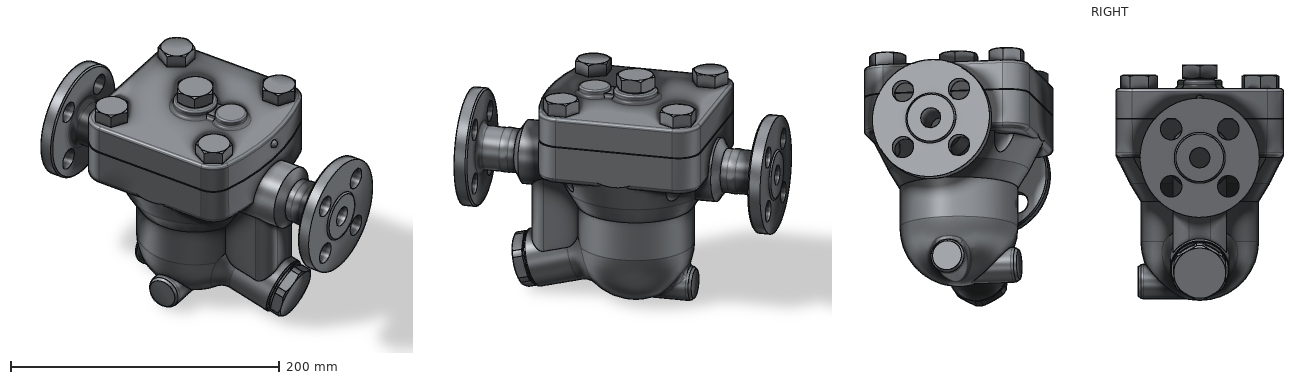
import cadquery as cq
import math


quarter_arc_inset = 1 - math.sqrt(0.5)

face_left = -109.5
face_right = 129.5
pipe_mid = (face_left + face_right) / 2

flange_r = 89.0 / 2
raised_face_r = 38.0 / 2
raised_face_bevel = 1.2
raised_face_height = 1.2
flange_back = 11.0
rim_chamfer = 1.2
pipe_r = 33.0 / 2
flange_fillet = 4.0
weld_start = 28.2
weld_end = 34.7
weld_height = 0.5
collar_end = 39.7
shoulder_end = 45.0
port_r = 48.0 / 2
bolt_hole_dia = 16.0
bolt_hole_circle = 60.2
bore_r = 15.0 / 2
bore_depth = collar_end

block_half_width = 125.0 / 2
block_left = -block_half_width
block_right = 68.8
block_right_bottom = 67.6
block_corner_r = 17.2
corner_center_right = 44.7
block_bottom = 0.2
cover_bottom = 29.5
cover_top = 51.6
block_edge_fillet = 2.5
block_bottom_fillet = 3.5
gasket_height = 0.5
gasket_inset = 0.5

bowl_r = 44.0
bowl_center_z = -62.4
cone_bottom_z = -32.5
cone_middle_z = -19.1
cone_middle_r = 52.0
cone_top_r = 62.4
cone_top_z = 1.2
bowl_bottom_z = bowl_center_z - bowl_r

head_bevel_angle = 30

bolt_pitch_half = 45.2
bolt_flats = 24.0
bolt_height = 10.0
pocket_r = 9.0

boss_top = 57.8
main_boss_r = 33.0 / 2
side_boss_r = 24.0 / 2
side_boss_x = 31.5
boss_round = 1.5
boss_base_fillet = 2.9
bridge_top = 55.0
bridge_half_width = 7.6
plug_neck_r = 22.0 / 2
plug_flats = 26.0
plug_bottom = 59.0
plug_top = 69.3

nipple_r = 3.0
nipple_center_x = block_right
nipple_z = 43.5

rib_half_width = 40.0 / 2
rib_end = 77.7
rib_corner_r = 12.0

strainer_angle = 15
strainer_r = 44.0 / 2
strainer_length = 80.3
strainer_fillet = 17.0
strainer_gasket_r = 21.3
strainer_gasket_thickness = 1.2
strainer_neck_r = 19.5
strainer_plug_start = 83.2
strainer_plug_height = 8.4
strainer_plug_flats = 38.7
strainer_plug_dia = 42.0

drain_r = 26.0 / 2
drain_z = -92.3
drain_reach = 46.0
drain_face_r = 22.0 / 2
drain_bevel = 2.03
drain_taper = 0.5
drain_fillet = 3.3


def hex_head(flats, height, rounding_dia=None, bevel_faces=">Z"):
    """Hexagonal head on Z = 0 with two corners along X, turned to a bevelled cylinder."""
    corner_dia = flats / math.cos(math.radians(30))
    outer_r = (rounding_dia or corner_dia) / 2
    bevel_width = outer_r - flats / 2
    bevel_height = bevel_width * math.tan(math.radians(head_bevel_angle))
    envelope = (
        cq.Workplane("XY")
        .circle(outer_r)
        .extrude(height)
        .faces(bevel_faces)
        .chamfer(bevel_height, bevel_width)
    )
    return cq.Workplane("XY").polygon(6, corner_dia).extrude(height).intersect(envelope)


def block_outline(z, right, inset=0.0):
    """Rounded square whose right side is one large arc tangent to its corners."""
    half = block_half_width - inset
    left = block_left + inset
    right = right - inset
    r = block_corner_r - inset
    cx = corner_center_right
    cy = half - r
    gap = right - cx
    side_r = (gap**2 + cy**2 - r**2) / (2 * (gap - r))
    side_cx = right - side_r
    tilt = math.atan2(cy, cx - side_cx)
    tangent_x = cx + r * math.cos(tilt)
    tangent_y = cy + r * math.sin(tilt)
    mid_x = cx + r * math.cos((tilt + math.pi / 2) / 2)
    mid_y = cy + r * math.sin((tilt + math.pi / 2) / 2)
    arc_inset = r * quarter_arc_inset
    return (
        cq.Workplane("XY", origin=(0, 0, z))
        .moveTo(left + r, -half)
        .lineTo(cx, -half)
        .threePointArc((mid_x, -mid_y), (tangent_x, -tangent_y))
        .threePointArc((right, 0), (tangent_x, tangent_y))
        .threePointArc((mid_x, mid_y), (cx, half))
        .lineTo(left + r, half)
        .threePointArc((left + arc_inset, half - arc_inset), (left, half - r))
        .lineTo(left, -half + r)
        .threePointArc((left + arc_inset, -half + arc_inset), (left + r, -half))
        .close()
    )


def make_block():
    """Lower body with a slightly drafted right side, thin inset gasket and cover."""
    body_top = cover_bottom - gasket_height
    base = block_outline(block_bottom, block_right_bottom).wires().vals()[0]
    rim = block_outline(body_top, block_right).wires().vals()[0]
    body = cq.Workplane(cq.Solid.makeLoft([base, rim], True))
    body = body.faces("<Z").edges().fillet(block_bottom_fillet)
    gasket = block_outline(body_top, block_right, gasket_inset).extrude(gasket_height)
    cover = block_outline(cover_bottom, block_right).extrude(cover_top - cover_bottom)
    cover = cover.faces(">Z").edges().fillet(block_edge_fillet)
    return body.union(gasket).union(cover)


def make_bowl():
    """Two cones, a cylinder and a hemisphere, with clearances for the bolt ends."""
    flare = (cone_top_r - cone_middle_r) / (cone_top_z - cone_middle_z)
    rim_z = block_bottom + block_bottom_fillet
    rim_r = cone_middle_r + flare * (rim_z - cone_middle_z)
    limits = cq.Workplane("XY").box(-2 * block_left, 2 * block_half_width, -4 * bowl_bottom_z)
    bowl = (
        cq.Workplane("XZ")
        .moveTo(0, rim_z)
        .lineTo(rim_r, rim_z)
        .lineTo(cone_middle_r, cone_middle_z)
        .lineTo(bowl_r, cone_bottom_z)
        .lineTo(bowl_r, bowl_center_z)
        .threePointArc(
            (bowl_r * math.sqrt(0.5), bowl_center_z - bowl_r * math.sqrt(0.5)),
            (0, bowl_bottom_z),
        )
        .close()
        .revolve(360, (0, 0, 0), (0, 1, 0))
    )
    pockets = (
        cq.Workplane("XY", origin=(0, 0, bowl_center_z))
        .rect(2 * bolt_pitch_half, 2 * bolt_pitch_half, forConstruction=True)
        .vertices()
        .circle(pocket_r)
        .extrude(block_bottom - bowl_center_z)
    )
    return bowl.intersect(limits).cut(pockets)


def strainer_plane(distance):
    """Workplane across the strainer axis at a distance from the centre of the bowl end."""
    slope = math.radians(strainer_angle)
    direction = cq.Vector(math.cos(slope), 0, -math.sin(slope))
    upright = cq.Vector(math.sin(slope), 0, math.cos(slope))
    origin = cq.Vector(0, 0, bowl_center_z) + direction * distance
    return cq.Workplane(cq.Plane(origin, upright, direction))


def make_drain():
    """Drain boss toward -X with a bevelled end."""
    return (
        cq.Workplane("XY")
        .moveTo(0, 0)
        .lineTo(-drain_reach, 0)
        .lineTo(-drain_reach, drain_face_r)
        .lineTo(-drain_reach + drain_bevel, drain_r - drain_taper)
        .lineTo(-drain_reach + 2 * drain_bevel, drain_r)
        .lineTo(0, drain_r)
        .close()
        .revolve(360, (0, 0, 0), (1, 0, 0))
        .translate((0, 0, drain_z))
    )


def make_bowl_with_drains():
    """Bowl with one drain boss toward -X blended into it and a plain one toward -Y."""
    drain = make_drain()
    bowl = make_bowl().union(drain)
    seams = [
        edge for edge in bowl.edges().vals()
        if edge.geomType() == "BSPLINE" and edge.Center().z < bowl_center_z
    ]
    bowl = bowl.newObject(seams).fillet(drain_fillet)
    return bowl.union(drain.rotate((0, 0, 0), (0, 0, 1), 90))


def make_strainer_branch():
    """Branch on an axis through the centre of the bowl end, flared into the sphere."""
    flare_center = math.sqrt((bowl_r + strainer_fillet) ** 2 - (strainer_r + strainer_fillet) ** 2)
    flare_angle = math.atan2(strainer_r + strainer_fillet, flare_center)
    mid_angle = (math.pi / 2 + flare_angle) / 2
    return (
        cq.Workplane("XY")
        .moveTo(0, 0)
        .lineTo(bowl_r * math.cos(flare_angle), bowl_r * math.sin(flare_angle))
        .threePointArc(
            (
                flare_center - strainer_fillet * math.cos(mid_angle),
                strainer_r + strainer_fillet * (1 - math.sin(mid_angle)),
            ),
            (flare_center, strainer_r),
        )
        .lineTo(strainer_length, strainer_r)
        .lineTo(strainer_length, 0)
        .close()
        .revolve(360, (0, 0, 0), (1, 0, 0))
        .rotate((0, 0, 0), (0, 1, 0), strainer_angle)
        .translate((0, 0, bowl_center_z))
    )


def make_strainer_plug():
    """Gasket, neck and hexagonal head closing the strainer branch."""
    seat = strainer_plane(strainer_length)
    gasket = seat.circle(strainer_gasket_r).extrude(strainer_gasket_thickness)
    neck = seat.circle(strainer_neck_r).extrude(strainer_plug_start - strainer_length)
    head = hex_head(strainer_plug_flats, strainer_plug_height, strainer_plug_dia)
    head_place = cq.Location(strainer_plane(strainer_plug_start).plane)
    return gasket.union(neck).union(cq.Workplane(head.val().moved(head_place)))


def make_connection():
    """Flange and pipe with its face at X = 0, running toward +X."""
    arc_inset = flange_fillet * quarter_arc_inset
    connection = (
        cq.Workplane("XY")
        .moveTo(0, 0)
        .lineTo(0, raised_face_r - raised_face_bevel)
        .lineTo(raised_face_height, raised_face_r)
        .lineTo(raised_face_height, flange_r)
        .lineTo(flange_back - rim_chamfer, flange_r)
        .lineTo(flange_back, flange_r - rim_chamfer)
        .lineTo(flange_back, pipe_r + flange_fillet)
        .threePointArc(
            (flange_back + arc_inset, pipe_r + arc_inset),
            (flange_back + flange_fillet, pipe_r),
        )
        .lineTo(weld_start, pipe_r)
        .threePointArc(((weld_start + weld_end) / 2, pipe_r + weld_height), (weld_end, pipe_r))
        .lineTo(collar_end, pipe_r)
        .lineTo(shoulder_end, port_r)
        .lineTo(pipe_mid - face_left, port_r)
        .lineTo(pipe_mid - face_left, 0)
        .close()
        .revolve(360, (0, 0, 0), (1, 0, 0))
    )
    holes = (
        cq.Workplane("YZ")
        .polarArray(bolt_hole_circle / 2, 45, 360, 4)
        .circle(bolt_hole_dia / 2)
        .extrude(flange_back)
    )
    return connection.cut(holes)


def make_bore():
    return cq.Workplane("YZ").circle(bore_r).extrude(bore_depth)


def on_both_sides(shape):
    """Place a shape at the left flange face and its mirror image at the right one."""
    left = shape.translate((face_left, 0, 0))
    right = shape.mirror("YZ").translate((face_right, 0, 0))
    return left.union(right)


def cover_boss(radius, x):
    """Round boss on the cover with a rounded top edge and a flared foot."""
    base_inset = boss_base_fillet * quarter_arc_inset
    round_inset = boss_round * quarter_arc_inset
    return (
        cq.Workplane("XZ")
        .moveTo(0, cover_top - block_edge_fillet)
        .lineTo(radius + boss_base_fillet, cover_top - block_edge_fillet)
        .lineTo(radius + boss_base_fillet, cover_top)
        .threePointArc(
            (radius + base_inset, cover_top + base_inset),
            (radius, cover_top + boss_base_fillet),
        )
        .lineTo(radius, boss_top - boss_round)
        .threePointArc(
            (radius - round_inset, boss_top - round_inset),
            (radius - boss_round, boss_top),
        )
        .lineTo(0, boss_top)
        .close()
        .revolve(360, (0, 0, 0), (0, 1, 0))
        .translate((x, 0, 0))
    )


def make_bridge():
    """Low web between the two cover bosses, flared into the cover on both sides."""
    foot = bridge_half_width + boss_base_fillet
    flare = boss_base_fillet * quarter_arc_inset
    flare_top = cover_top + boss_base_fillet
    return (
        cq.Workplane("YZ")
        .moveTo(-foot, cover_top - block_edge_fillet)
        .lineTo(foot, cover_top - block_edge_fillet)
        .lineTo(foot, cover_top)
        .threePointArc((bridge_half_width + flare, cover_top + flare), (bridge_half_width, flare_top))
        .lineTo(bridge_half_width, bridge_top)
        .lineTo(-bridge_half_width, bridge_top)
        .lineTo(-bridge_half_width, flare_top)
        .threePointArc((-bridge_half_width - flare, cover_top + flare), (-foot, cover_top))
        .close()
        .extrude(side_boss_x)
    )


def make_center_plug():
    neck = (
        cq.Workplane("XY", origin=(0, 0, cover_top))
        .circle(plug_neck_r)
        .extrude(plug_bottom - cover_top)
    )
    head = hex_head(plug_flats, plug_top - plug_bottom, bevel_faces="<Z or >Z")
    return neck.union(head.translate((0, 0, plug_bottom)))


def make_bolts():
    """Four cover bolts, each turned a quarter turn from its neighbours."""
    bolts = cq.Workplane("XY")
    head = hex_head(bolt_flats, bolt_height + block_edge_fillet)
    for side_x in (-1, 1):
        for side_y in (-1, 1):
            turn = 0 if side_x == side_y else 90
            place = (
                side_x * bolt_pitch_half,
                side_y * bolt_pitch_half,
                cover_top - block_edge_fillet,
            )
            bolts = bolts.add(head.rotate((0, 0, 0), (0, 0, 1), turn).translate(place))
    return bolts.combine()


def make_nipple():
    shank = cq.Workplane("YZ").circle(nipple_r).extrude(nipple_center_x)
    tip = cq.Workplane("XY").sphere(nipple_r).translate((nipple_center_x, 0, 0))
    return shank.union(tip).translate((0, 0, nipple_z))


def make_rib():
    """Upright rib from the outlet port down into the strainer branch."""
    slope = math.tan(math.radians(strainer_angle))
    return (
        cq.Workplane("XZ")
        .moveTo(0, 0)
        .lineTo(rib_end, 0)
        .lineTo(rib_end, bowl_center_z - rib_end * slope)
        .lineTo(0, bowl_center_z)
        .close()
        .extrude(rib_half_width, both=True)
        .edges("|Z and >X")
        .fillet(rib_corner_r)
    )


result = make_bowl_with_drains()
for feature in (
    make_rib(),
    make_strainer_branch(),
    make_strainer_plug(),
    make_block(),
    on_both_sides(make_connection()),
    cover_boss(main_boss_r, 0),
    cover_boss(side_boss_r, side_boss_x),
    make_bridge(),
    make_center_plug(),
    make_bolts(),
    make_nipple(),
):
    result = result.union(feature)
result = result.cut(on_both_sides(make_bore()))